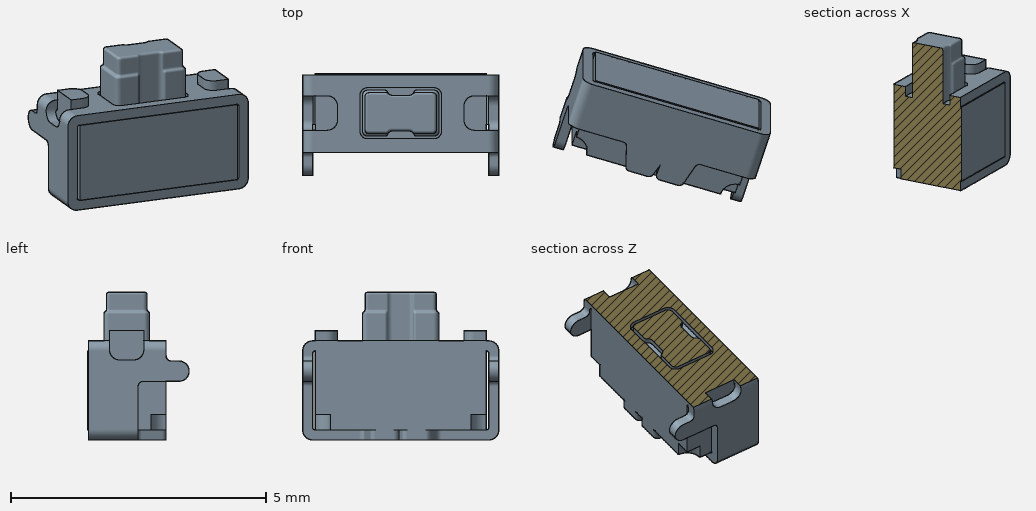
import cadquery as cq


frame_width = 3.85
frame_height = 1.95
frame_depth = 1.525
sheet = 0.2
bend_outer_radius = 0.2
bend_inner_radius = 0.05
opening_width = 1.6
opening_depth = 1.0
opening_radius = 0.15

leg_reach = 0.45
leg_low = 1.15
leg_high = 1.55
leg_root_radius = 0.1
front_relief = 0.55

tongue_root_width = 1.448
tongue_tip_width = 1.147
tongue_radius = 0.1
slot_left = -0.025
slot_right = 0.055
slot_end = -0.042
slot_depth = 0.3

body_side_gap = 0.045
body_depth = 1.548
corner_relief_radius = 0.3
corner_relief_height = 0.3

peg_width = 0.44
peg_depth = 0.675
peg_height = 0.195
peg_front = 0.44
peg_radius = 0.2
notch_low = 1.57

button_top = 2.9
ledge_height = 2.52
base_width = 1.5
base_depth = 0.9
base_radius = 0.1
cap_inset = 0.05
cap_radius = 0.075
edge_radius = 0.05
groove_floor_width = 0.33
groove_depth = 0.1

frame_half = frame_width / 2
inner_half = frame_half - sheet
inner_top = frame_height - sheet
body_half = inner_half - body_side_gap
button_y = body_depth / 2

margin = 0.04
hair = 0.005
lip_slack = 0.02


def block(x, y, z):
    """Box spanning the given (low, high) pairs."""
    solid = cq.Workplane("XY").box(x[1] - x[0], y[1] - y[0], z[1] - z[0], centered=False)
    return solid.translate((x[0], y[0], z[0]))


def rounded_block(width, depth, radius, z):
    """Box about the button axis with rounded upright edges."""
    half_width = width / 2
    y = (button_y - depth / 2, button_y + depth / 2)
    return block((-half_width, half_width), y, z).edges("|Z").fillet(radius)


def on_both_sides(solid):
    return solid.union(solid.mirror("YZ"))


def within(x, y, z):
    """Selector for items centred inside the given (low, high) pairs."""
    return cq.selectors.BoxSelector((x[0], y[0], z[0]), (x[1], y[1], z[1]))


def make_ring():
    ring = block((-frame_half, frame_half), (0, frame_depth), (0, frame_height))
    ring = ring.edges("|Y").fillet(bend_outer_radius)
    window = block((-inner_half, inner_half), (0, frame_depth), (sheet, inner_top))
    ring = ring.cut(window.edges("|Y").fillet(bend_inner_radius))
    relief = block((-frame_half, frame_half), (0, front_relief), (0, leg_low))
    return ring.cut(relief.edges("|X and >Y and >Z").fillet(leg_root_radius))


def add_legs(frame):
    tip_radius = (leg_high - leg_low) / 2
    tip_y = tip_radius - leg_reach
    leg = block((-frame_half, -inner_half), (tip_y, front_relief / 2), (leg_low, leg_high))
    tip = cq.Workplane("YZ", origin=(-frame_half, tip_y, leg_low + tip_radius)).circle(tip_radius)
    frame = frame.union(on_both_sides(leg.union(tip.extrude(sheet))))
    roots = within((-frame_half, frame_half), (-hair, hair), (leg_high - hair, leg_high + hair))
    return frame.edges("|X").edges(roots).fillet(leg_root_radius)


def make_tongue():
    root = tongue_root_width / 2
    tip = tongue_tip_width / 2
    plan = [(-root, front_relief), (-tip, 0), (tip, 0), (root, front_relief)]
    wide = inner_half - margin
    plan += [(wide, front_relief), (wide, front_relief + margin)]
    plan += [(-wide, front_relief + margin), (-wide, front_relief)]
    tongue = cq.Workplane("XY").polyline(plan).close().extrude(sheet)
    slot = [(slot_left, 0), (slot_end, slot_depth), (slot_right, 0)]
    tongue = tongue.cut(cq.Workplane("XY").polyline(slot).close().extrude(sheet))
    tips = within((-root, root), (-hair, hair), (0, sheet))
    roots = within((-root - hair, root + hair), (front_relief - hair, front_relief + hair), (0, sheet))
    return tongue.edges("|Z").edges(tips + roots).fillet(tongue_radius)


def make_frame():
    frame = add_legs(make_ring()).union(make_tongue())
    frame = frame.cut(rounded_block(opening_width, opening_depth, opening_radius, (inner_top, frame_height)))
    notch = block((-frame_half, -body_half), (peg_front, peg_front + peg_depth), (notch_low, frame_height))
    return frame.cut(on_both_sides(notch.edges("|X and <Z").fillet(peg_radius)))


def make_body():
    body = block((-body_half, body_half), (0, body_depth), (sheet, inner_top))
    relief = cq.Workplane("XY", origin=(-body_half, 0, sheet)).circle(corner_relief_radius)
    return body.cut(on_both_sides(relief.extrude(corner_relief_height)))


def make_pegs():
    x = (-body_half, peg_width - body_half)
    y = (peg_front, peg_front + peg_depth)
    peg = block(x, y, (frame_height, frame_height + peg_height))
    return on_both_sides(peg.edges("|Z and >X").fillet(peg_radius))


def make_stepped_block():
    """Base and cap joined by a rounded shoulder that runs into a matching hollow."""
    base = rounded_block(base_width, base_depth, base_radius, (inner_top, ledge_height))
    base = base.faces(">Z").edges().fillet(edge_radius)
    cap_width = base_width - 2 * cap_inset
    cap_depth = base_depth - 2 * cap_inset
    stepped = base.union(rounded_block(cap_width, cap_depth, cap_radius, (inner_top, button_top)))
    across = (-base_width, base_width)
    along = (button_y - base_depth, button_y + base_depth)
    cap_walls = within(across, along, (ledge_height + hair, button_top + hair))
    cap_foot = within(across, along, (ledge_height - hair, ledge_height + hair))
    return stepped.faces(cap_walls).edges(cap_foot).fillet(edge_radius)


def make_groove():
    """Cutter for the front groove, with a quarter round up each side of its flat floor."""
    front = button_y - base_depth / 2
    floor = front + groove_depth
    half_floor = groove_floor_width / 2
    half_mouth = half_floor + groove_depth
    groove = (
        cq.Workplane("XY", origin=(0, 0, inner_top))
        .moveTo(-half_floor, floor)
        .lineTo(half_floor, floor)
        .radiusArc((half_mouth, front), groove_depth)
        .lineTo(half_mouth, front - margin)
        .lineTo(-half_mouth, front - margin)
        .lineTo(-half_mouth, front)
        .radiusArc((-half_floor, floor), groove_depth)
        .close()
    )
    return groove.extrude(button_top - inner_top)


def make_button():
    front_groove = make_groove()
    back_groove = front_groove.rotate((0, button_y, 0), (0, button_y, 1), 180)
    button = make_stepped_block().cut(front_groove).cut(back_groove)
    mouth = groove_floor_width / 2 + groove_depth
    along = (button_y - base_depth, button_y + base_depth)
    tall = (inner_top + margin, button_top)
    left_lips = within((-mouth - hair, -mouth + lip_slack), along, tall)
    right_lips = within((mouth - lip_slack, mouth + hair), along, tall)
    button = button.edges(left_lips + right_lips).fillet(edge_radius)
    return button.faces(">Z").edges().fillet(edge_radius)


result = make_frame().union(make_body()).union(make_pegs()).union(make_button())